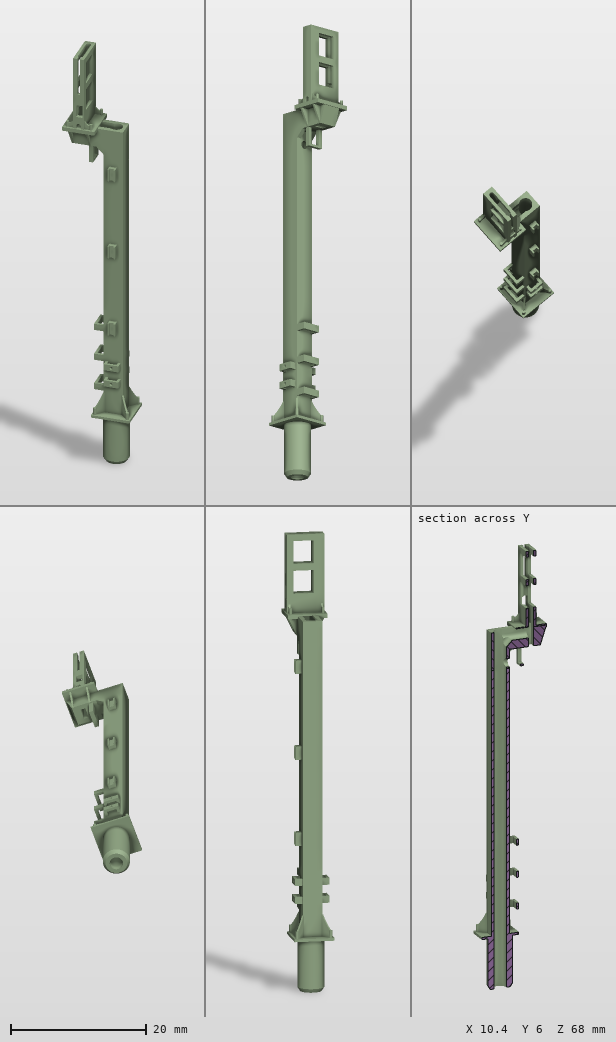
import cadquery as cq
import math


total_height = 68.0
peg_length = 8.0
mast_top = 50.1
arm_bottom = 53.0
carrier_top = 56.0

post_width = 3.0
post_half = post_width / 2
bore_diameter = 2.0
peg_diameter = 4.0
peg_chamfer_height = 0.6
peg_chamfer_depth = 0.4
flange_width = 6.0
flange_thickness = 0.4
flange_top = peg_length + flange_thickness

bolt_diameter = 0.5
bolt_height = 1.1
bolt_offset = 2.5
gusset_thickness = 0.3
gusset_height = 3.25
gusset_end_height = 1.0
gusset_sag = 0.1

ring_wall = 0.4
step_reach = 1.5
step_height = 1.0
step_bottoms = (12.05, 17.0, 22.0)
eyelet_width = 2.3
eyelet_reach = 1.1
eyelet_height = 1.0
eyelet_bottoms = (13.4, 16.1)
eyelet_hole_diameter = 0.5
handle_width = 1.15
handle_reach = 0.95
handle_height = 2.0
handle_bottom = 22.0
handle_pitch = 13.0
handle_count = 3
handle_groove_width = 0.7
handle_groove_depth = 0.35

head_x = -4.95
platform_length = 5.0
platform_width = flange_width
platform_thickness = 0.4
platform_bottom = carrier_top - platform_thickness
platform_left = head_x - platform_length / 2
nose_top_inset = 0.15
nose_bottom_x = -6.45
bracket_thickness = 0.3
bracket_top_half = 2.8
bracket_offset = 1.3
brace_size = 1.15
tab_left = -3.8
tab_thickness = 0.6
tab_width = 2.65
tab_window_width = 1.5
tab_window_bottom = 50.45
wire_hole_diameter = 1.2
wire_hole_z = 50.9
trough_width = 1.55
trough_floor = 54.4
elbow_x = -1.85
elbow_length = 2.4

head_thickness = 1.7
head_width = 5.65
foot_thickness = 0.2
foot_top = carrier_top + foot_thickness
window_width = 3.0
window_height = 3.5
window_y = -0.35
window_pitch = 4.5
window_count = 2
upper_window_top = 67.05
cavity_thickness = 0.75
cavity_width = 4.5
duct_width = trough_width
side_groove_width = 0.4
side_groove_bottom = 62.0
side_opening_width = 1.0
side_opening_bottom = 58.2
side_opening_height = 2.0
arch_diameter = 0.75
arch_center_z = 56.7
head_bolt_diameter = 0.45
head_bolt_height = 0.9
head_bolt_x = 1.85
head_bolt_y = 2.45
head_gusset_height = 1.3
head_gusset_thickness = 0.3
head_gusset_end_height = 0.6
head_gusset_sag = 0.15


def box(x_range, y_range, z_range):
    """Box between the given low and high limits."""
    lows, highs = zip(x_range, y_range, z_range)
    size = [high - low for low, high in zip(lows, highs)]
    return cq.Workplane("XY").box(*size, centered=False).translate(lows)


def mid(center, width):
    """Low and high limit of a width centred on a place."""
    return (center - width / 2, center + width / 2)


def curved_gusset(start, end, height, end_height, sag, thickness):
    """Upright plate from start outwards to end, with a hollow curved top edge, standing on Z = 0."""
    middle = ((start + end) / 2 - sag, (height + end_height) / 2 - sag)
    return (
        cq.Workplane("XZ")
        .moveTo(0, 0)
        .lineTo(end, 0)
        .lineTo(end, end_height)
        .threePointArc(middle, (start, height))
        .lineTo(0, height)
        .close()
        .extrude(thickness / 2, both=True)
    )


def ring(reach, width, height):
    """Rectangular loop standing out from a face at X = 0 towards +X, open from top to bottom."""
    loop = box((0, reach), mid(0, width), (0, height))
    opening = box((0, reach - ring_wall), mid(0, width - 2 * ring_wall), (0, height))
    return loop.cut(opening)


def eyelet():
    """Loop with a round hole through its outer wall."""
    hole = (
        cq.Workplane("YZ", origin=(0, 0, eyelet_height / 2))
        .circle(eyelet_hole_diameter / 2)
        .extrude(eyelet_reach)
    )
    return ring(eyelet_reach, eyelet_width, eyelet_height).cut(hole)


def handle():
    """Upright block with a groove down its outer face."""
    block = box((0, handle_reach), mid(0, handle_width), (0, handle_height))
    groove = box(
        (handle_reach - handle_groove_depth, handle_reach),
        mid(0, handle_groove_width),
        (0, handle_height),
    )
    return block.cut(groove)


def on_post_face(fitting, angle, z):
    """Turn a fitting made for X = 0 to a face of the post and lift it to its height."""
    return fitting.translate((post_half, 0, z)).rotate((0, 0, 0), (0, 0, 1), angle)


def make_peg():
    radius = peg_diameter / 2
    return (
        cq.Workplane("XZ")
        .moveTo(0, 0)
        .lineTo(radius - peg_chamfer_depth, 0)
        .lineTo(radius, peg_chamfer_height)
        .lineTo(radius, peg_length)
        .lineTo(0, peg_length)
        .close()
        .revolve(360, (0, 0, 0), (0, 1, 0))
    )


def make_mast():
    mast = make_peg()
    flange = box(mid(0, flange_width), mid(0, flange_width), (peg_length, flange_top))
    post = box(mid(0, post_width), mid(0, post_width), (flange_top, mast_top))
    mast = mast.union(flange).union(post)

    gusset = curved_gusset(
        post_half * math.sqrt(2),
        bolt_offset * math.sqrt(2),
        gusset_height,
        gusset_end_height,
        gusset_sag,
        gusset_thickness,
    )
    bolt = (
        cq.Workplane("XY")
        .center(bolt_offset * math.sqrt(2), 0)
        .circle(bolt_diameter / 2)
        .extrude(bolt_height)
    )
    corner = gusset.union(bolt).translate((0, 0, flange_top))
    for angle in (45, 135, 225, 315):
        mast = mast.union(corner.rotate((0, 0, 0), (0, 0, 1), angle))

    for z in step_bottoms:
        mast = mast.union(on_post_face(ring(step_reach, post_width, step_height), 180, z))
    for z in eyelet_bottoms:
        for angle in (90, 270):
            mast = mast.union(on_post_face(eyelet(), angle, z))
    for index in range(handle_count):
        z = handle_bottom + index * handle_pitch
        mast = mast.union(on_post_face(handle(), 270, z))

    bore = cq.Workplane("XY").circle(bore_diameter / 2).extrude(mast_top)
    return mast.cut(bore)


def make_bracket(x):
    """Thin plate across the arm that widens upwards to carry the platform."""
    return (
        cq.Workplane("YZ", origin=(x, 0, 0))
        .moveTo(-post_half, arm_bottom)
        .lineTo(post_half, arm_bottom)
        .lineTo(bracket_top_half, platform_bottom)
        .lineTo(-bracket_top_half, platform_bottom)
        .close()
        .extrude(bracket_thickness / 2, both=True)
    )


def make_braces():
    """Two triangular ribs in the corner below the arm, either side of the wire passage."""
    rib = (
        cq.Workplane("XZ")
        .moveTo(-post_half, arm_bottom)
        .lineTo(-post_half - brace_size, arm_bottom)
        .lineTo(-post_half, arm_bottom - brace_size)
        .close()
        .extrude(post_half, both=True)
    )
    passage = box(
        (-post_half - brace_size, -post_half),
        mid(0, tab_window_width),
        (arm_bottom - brace_size, arm_bottom),
    )
    return rib.cut(passage)


def make_tab():
    """Plate hanging below the arm with a window for the wires."""
    x_range = (tab_left, tab_left + tab_thickness)
    plate = box(x_range, mid(0, tab_width), (mast_top, arm_bottom))
    window = box(x_range, mid(0, tab_window_width), (tab_window_bottom, arm_bottom))
    return plate.cut(window)


def make_trough():
    """Round-bottomed channel in the arm's top, from the head's duct to the bore, with a sloped end."""
    radius = trough_width / 2
    axis_z = trough_floor + radius
    floor = (
        cq.Workplane("YZ", origin=(head_x, 0, axis_z))
        .circle(radius)
        .extrude(-head_x)
    )
    opening = box((head_x, 0), mid(0, trough_width), (axis_z, carrier_top))
    slope = cq.Plane(origin=(elbow_x, 0, axis_z), xDir=(0, 1, 0), normal=(1, 0, -1))
    elbow = cq.Workplane(slope).circle(wire_hole_diameter / 2).extrude(elbow_length)
    return floor.union(opening).union(elbow)


def make_carrier():
    block = box(mid(0, post_width), mid(0, post_width), (mast_top, carrier_top))
    arm = (
        cq.Workplane("XZ")
        .moveTo(0, arm_bottom)
        .lineTo(nose_bottom_x, arm_bottom)
        .lineTo(platform_left + nose_top_inset, platform_bottom)
        .lineTo(platform_left + nose_top_inset, carrier_top)
        .lineTo(0, carrier_top)
        .close()
        .extrude(post_half, both=True)
    )
    platform = box(
        mid(head_x, platform_length), mid(0, platform_width), (platform_bottom, carrier_top)
    )
    carrier = block.union(arm).union(platform).union(make_braces()).union(make_tab())
    for side in (-1, 1):
        carrier = carrier.union(make_bracket(head_x + side * bracket_offset))

    bore = cq.Workplane("XY").circle(bore_diameter / 2).extrude(total_height)
    wire_hole = (
        cq.Workplane("YZ", origin=(0, 0, wire_hole_z))
        .circle(wire_hole_diameter / 2)
        .extrude(-post_half)
    )
    duct = box(mid(head_x, cavity_thickness), mid(0, duct_width), (arm_bottom, carrier_top))
    return carrier.cut(bore).cut(wire_hole).cut(duct).cut(make_trough())


def make_head_corner():
    """Gusset and bolt beside the head, made for the +X +Y corner and centred on the head."""
    start = head_thickness / 2
    gusset = curved_gusset(
        start,
        head_bolt_x,
        head_gusset_height,
        head_gusset_end_height,
        head_gusset_sag,
        head_gusset_thickness,
    )
    bolt = (
        cq.Workplane("XY")
        .center(head_bolt_x, 0)
        .circle(head_bolt_diameter / 2)
        .extrude(head_bolt_height)
    )
    return gusset.union(bolt).translate((0, head_bolt_y, foot_top))


def make_head():
    head_front_y = -head_width / 2
    foot = box(mid(head_x, platform_length), mid(0, platform_width), (carrier_top, foot_top))
    panel = box(mid(head_x, head_thickness), mid(0, head_width), (foot_top, total_height))
    head = foot.union(panel)

    corner = make_head_corner()
    for fitting in (corner, corner.mirror("YZ")):
        for placed in (fitting, fitting.mirror("XZ")):
            head = head.union(placed.translate((head_x, 0, 0)))

    cavity = (
        cq.Workplane("XY", origin=(head_x, 0, foot_top))
        .slot2D(cavity_width, cavity_thickness, 90)
        .extrude(total_height - foot_top)
    )
    duct = box(mid(head_x, cavity_thickness), mid(0, duct_width), (carrier_top, foot_top))
    head = head.cut(cavity).cut(duct)

    for index in range(window_count):
        top = upper_window_top - index * window_pitch
        head = head.cut(
            box(mid(head_x, head_thickness), mid(window_y, window_width), (top - window_height, top))
        )

    groove = box(
        mid(head_x, side_groove_width), (head_front_y, 0), (side_groove_bottom, total_height)
    )
    opening_left = head_x - cavity_thickness / 2
    opening = box(
        (opening_left, opening_left + side_opening_width),
        (head_front_y, -cavity_width / 2 + cavity_thickness),
        (side_opening_bottom, side_opening_bottom + side_opening_height),
    )
    head = head.cut(groove).cut(opening)

    arch = (
        cq.Workplane("XZ", origin=(head_x, 0, arch_center_z))
        .circle(arch_diameter / 2)
        .extrude(head_width / 2, both=True)
    )
    arch_foot = box(mid(head_x, arch_diameter), mid(0, head_width), (foot_top, arch_center_z))
    return head.cut(arch).cut(arch_foot)


mast = make_mast()
carrier = make_carrier()
head = make_head()

result = cq.Compound.makeCompound([mast.val(), carrier.val(), head.val()])